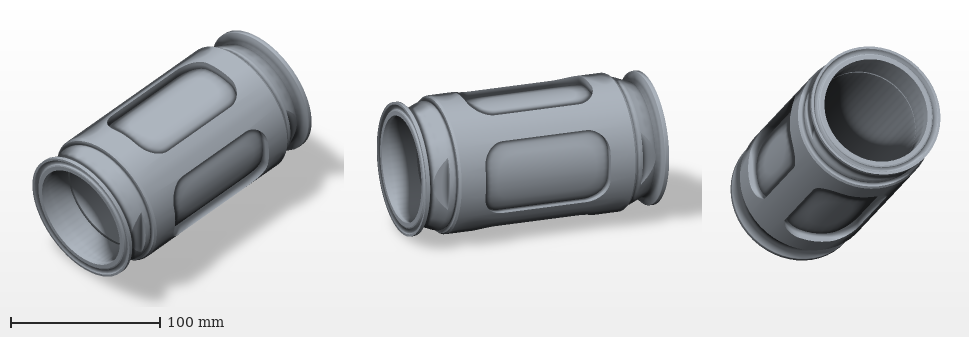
import cadquery as cq
import math

total_length = 175.0
half_length = total_length / 2
flow_bore_radius = 36.4

sleeve_diameter = 94.0
sleeve_radius = sleeve_diameter / 2
sleeve_bore_radius = 41.1
sleeve_end_inset = 23.3
sleeve_half_length = half_length - sleeve_end_inset
sleeve_chamfer_length = 1.5
sleeve_chamfer_depth = 1.0

window_count = 4
window_length = 90.1
window_width = 51.1
window_corner_radius = 15.0

glass_radius = sleeve_bore_radius
glass_end_gap = 1.5

flange_radius = 45.5
flange_rim_thickness = 2.5
rim_round = 0.5
flange_back_angle = math.radians(70)
flange_back_radius = 40.5
neck_radius = 39.0

rim_round_radius = flange_radius - rim_round * (1 - math.cos(flange_back_angle))
rim_round_end = flange_rim_thickness + rim_round * math.sin(flange_back_angle)
flange_back_end = rim_round_end + (rim_round_radius - flange_back_radius) / math.tan(flange_back_angle)
neck_start = flange_back_end + (flange_back_radius - neck_radius) / math.tan(flange_back_angle / 2)

neck_end = 7.4
collar_start = 18.0
collar_end = 22.0
cone_end_radius = 43.2
collar_radius = 43.8
collar_end_radius = 43.5
collar_root_radius = 42.9
spigot_length = 1.8
spigot_end = sleeve_end_inset + spigot_length
flat_distance = neck_radius

groove_outer_radius = 43.5
groove_inner_radius = 40.2
groove_depth = 1.5
groove_lip_depth = 0.4
groove_inner_flare = 0.9
groove_outer_flare = 0.4


def revolve_profile(profile):
    """Turn a closed profile of (radius, axial position) points about the Y axis."""
    return profile.close().revolve(360, (0, 0, 0), (0, 1, 0))


def make_sleeve():
    """Tube with bevelled ends and a rounded window on each of four sides."""
    chamfer_start = sleeve_half_length - sleeve_chamfer_length
    end_radius = sleeve_radius - sleeve_chamfer_depth
    sleeve = revolve_profile(
        cq.Workplane("XY")
        .moveTo(sleeve_bore_radius, -sleeve_half_length)
        .lineTo(end_radius, -sleeve_half_length)
        .lineTo(sleeve_radius, -chamfer_start)
        .lineTo(sleeve_radius, chamfer_start)
        .lineTo(end_radius, sleeve_half_length)
        .lineTo(sleeve_bore_radius, sleeve_half_length)
    )
    window = (
        cq.Workplane("XY")
        .rect(window_width, window_length)
        .extrude(sleeve_radius)
        .edges("|Z")
        .fillet(window_corner_radius)
    )
    for index in range(window_count):
        turn = index * 360 / window_count
        sleeve = sleeve.cut(window.rotate((0, 0, 0), (0, 1, 0), turn))
    return sleeve


def make_glass():
    """Clear tube inside the sleeve, held clear of both ferrule spigots."""
    glass_half_length = half_length - spigot_end - glass_end_gap
    return revolve_profile(
        cq.Workplane("XY")
        .moveTo(flow_bore_radius, -glass_half_length)
        .lineTo(glass_radius, -glass_half_length)
        .lineTo(glass_radius, glass_half_length)
        .lineTo(flow_bore_radius, glass_half_length)
    )


def make_ferrule_body():
    """Turned ferrule: flange, neck, cone, collar and spigot, outer face at Y = 0."""
    return revolve_profile(
        cq.Workplane("XY")
        .moveTo(flow_bore_radius, 0)
        .lineTo(flange_radius, 0)
        .lineTo(flange_radius, flange_rim_thickness)
        .tangentArcPoint((rim_round_radius, rim_round_end), relative=False)
        .lineTo(flange_back_radius, flange_back_end)
        .tangentArcPoint((neck_radius, neck_start), relative=False)
        .lineTo(neck_radius, neck_end)
        .lineTo(cone_end_radius, collar_start)
        .threePointArc(
            (collar_radius, (collar_start + collar_end) / 2),
            (collar_end_radius, collar_end),
        )
        .lineTo(collar_root_radius, sleeve_end_inset)
        .lineTo(sleeve_bore_radius, sleeve_end_inset)
        .lineTo(sleeve_bore_radius, spigot_end)
        .lineTo(flow_bore_radius, spigot_end)
    )


def make_gasket_groove():
    """Ring cutter for the round-bottomed gasket groove with flared lips."""
    groove_middle_radius = (groove_outer_radius + groove_inner_radius) / 2
    return revolve_profile(
        cq.Workplane("XY")
        .moveTo(groove_inner_radius - groove_inner_flare, 0)
        .lineTo(groove_outer_radius + groove_outer_flare, 0)
        .lineTo(groove_outer_radius, groove_lip_depth)
        .threePointArc(
            (groove_middle_radius, groove_depth),
            (groove_inner_radius, groove_lip_depth),
        )
    )


def make_flat_cutter(side):
    """Block that leaves a wrench flat on the cone; side is -1 or 1 along X."""
    block_thickness = flange_radius - flat_distance
    return (
        cq.Workplane("XY")
        .box(block_thickness, collar_start - neck_start, 2 * flange_radius)
        .translate(
            (
                side * (flat_distance + block_thickness / 2),
                (collar_start + neck_start) / 2,
                0,
            )
        )
    )


def make_ferrule(turn):
    """Clamp ferrule at the -Y end, swung about Z by the given angle."""
    ferrule = make_ferrule_body().cut(make_gasket_groove())
    for side in (-1, 1):
        ferrule = ferrule.cut(make_flat_cutter(side))
    return ferrule.translate((0, -half_length, 0)).rotate((0, 0, 0), (0, 0, 1), turn)


sleeve = make_sleeve()
glass = make_glass()
ferrules = [make_ferrule(turn) for turn in (0, 180)]

result = cq.Compound.makeCompound([sleeve.val(), glass.val(), *[ferrule.val() for ferrule in ferrules]])